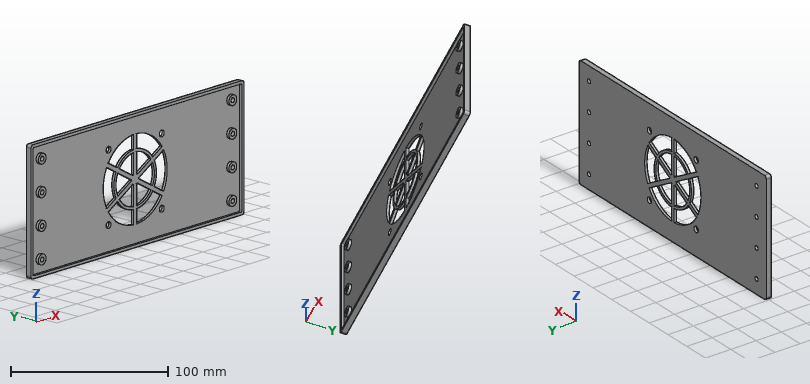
import cadquery as cq

LENGTH = 199.6
THICKNESS = 4.0
HEIGHT = 89.0
CORNER_RADIUS = 2.0

RIM_WIDTH = 2.0
RECESS_DEPTH = 2.0
RECESS_CORNER_RADIUS = 1.0

BOSS_DIAMETER = 7.2
BOSS_HOLE_DIAMETER = 3.2
BOSS_COLUMN_SPACING = 178.6
BOSS_ROWS = 4
BOSS_ROW_SPACING = HEIGHT / BOSS_ROWS

FAN_DIAMETER = 59.9
RING_OUTER_DIAMETER = 40.0
RING_INNER_DIAMETER = 36.0
HUB_DIAMETER = 7.2
SPOKE_WIDTH = 3.0
SPOKE_BARS = 3
FAN_SCREW_SPACING = 49.9
FAN_SCREW_DIAMETER = 4.4

FRONT_Y = -THICKNESS / 2
BACK_Y = THICKNESS / 2
FLOOR_Y = FRONT_Y + RECESS_DEPTH
FLOOR_THICKNESS = BACK_Y - FLOOR_Y


def sketch_plane(y):
    """Workplane at position y whose local axes are X and Z; its normal points to -Y."""
    return cq.Workplane("XZ", origin=(0, y, 0))


def rounded_block(length, height, radius, back_y, depth):
    """Block with rounded corners that grows from back_y toward -Y."""
    return sketch_plane(back_y).rect(length, height).extrude(depth).edges("|Y").fillet(radius)


def floor_cylinder(diameter):
    """Cylinder on the fan axis, as thick as the tray floor."""
    return sketch_plane(BACK_Y).circle(diameter / 2).extrude(FLOOR_THICKNESS)


def make_tray():
    panel = rounded_block(LENGTH, HEIGHT, CORNER_RADIUS, BACK_Y, THICKNESS)
    recess = rounded_block(
        LENGTH - 2 * RIM_WIDTH,
        HEIGHT - 2 * RIM_WIDTH,
        RECESS_CORNER_RADIUS,
        FLOOR_Y,
        RECESS_DEPTH,
    )
    return panel.cut(recess)


def make_finger_guard():
    """Hub, ring and crossing bars that fill the fan opening."""
    ring = floor_cylinder(RING_OUTER_DIAMETER).cut(floor_cylinder(RING_INNER_DIAMETER))
    guard = ring.union(floor_cylinder(HUB_DIAMETER))
    bar = sketch_plane(BACK_Y).rect(SPOKE_WIDTH, FAN_DIAMETER).extrude(FLOOR_THICKNESS)
    for index in range(SPOKE_BARS):
        angle = index * 180 / SPOKE_BARS
        guard = guard.union(bar.rotate((0, 0, 0), (0, 1, 0), angle))
    return guard


def add_bosses(body):
    def at_boss_centers(y):
        return sketch_plane(y).rarray(BOSS_COLUMN_SPACING, BOSS_ROW_SPACING, 2, BOSS_ROWS)

    bosses = at_boss_centers(FLOOR_Y).circle(BOSS_DIAMETER / 2).extrude(RECESS_DEPTH)
    holes = at_boss_centers(BACK_Y).circle(BOSS_HOLE_DIAMETER / 2).extrude(THICKNESS)
    return body.union(bosses).cut(holes)


def cut_fan_opening(body):
    openings = floor_cylinder(FAN_DIAMETER).cut(make_finger_guard())
    screw_holes = (
        sketch_plane(BACK_Y)
        .rarray(FAN_SCREW_SPACING, FAN_SCREW_SPACING, 2, 2)
        .circle(FAN_SCREW_DIAMETER / 2)
        .extrude(FLOOR_THICKNESS)
    )
    return body.cut(openings).cut(screw_holes)


result = cut_fan_opening(add_bosses(make_tray()))